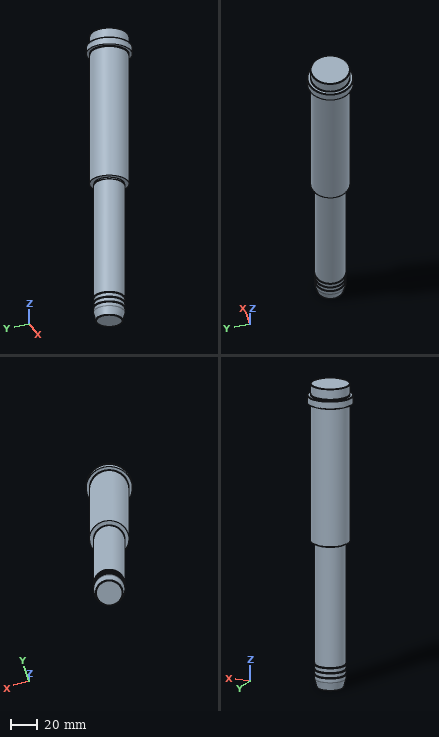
import cadquery as cq

TOTAL_LENGTH = 240.0
SLEEVE_LENGTH = 124.5

PIN_DIAMETER = 24.0
SLEEVE_DIAMETER = 30.0
COLLAR_DIAMETER = 35.0

SLEEVE_CHAMFER = 0.5
COLLAR_SETBACK = 9.0
COLLAR_THICKNESS = 6.0
COLLAR_CHAMFER = 0.5
RELIEF_WIDTH = 1.0
RELIEF_DEPTH = 0.5

NECK_LENGTH = 1.5
NECK_DEPTH = 0.5

GROOVE_COUNT = 3
GROOVE_PITCH = 4.0
GROOVE_WIDTH = 1.0
GROOVE_DEPTH = 0.5
LOWEST_GROOVE_BOTTOM = 10.0

NOSE_LENGTH = 7.0
NOSE_TIP_DIAMETER = 20.5
NOSE_EDGE_CHAMFER = 0.5

SLEEVE_BOTTOM = TOTAL_LENGTH - SLEEVE_LENGTH
COLLAR_TOP = TOTAL_LENGTH - COLLAR_SETBACK
COLLAR_BOTTOM = COLLAR_TOP - COLLAR_THICKNESS


def cylinder(diameter, bottom, height):
    return cq.Workplane("XY").workplane(offset=bottom).circle(diameter / 2).extrude(height)


def v_ring(diameter, depth, bottom, width):
    """Triangular ring that cuts a V groove into a shaft of the given diameter."""
    radius = diameter / 2
    profile = [(radius, bottom), (radius - depth, bottom + width / 2), (radius, bottom + width)]
    return cq.Workplane("XZ").polyline(profile).close().revolve(360, (0, 0), (0, 1))


def make_nose():
    """Tapered lead-in with a small chamfer around its tip."""
    nose = (
        cq.Workplane("XY")
        .circle(NOSE_TIP_DIAMETER / 2)
        .workplane(offset=NOSE_LENGTH)
        .circle(PIN_DIAMETER / 2)
        .loft(ruled=True)
    )
    return nose.faces("<Z").edges().chamfer(NOSE_EDGE_CHAMFER)


def make_pin():
    neck_bottom = SLEEVE_BOTTOM - NECK_LENGTH
    pin = cylinder(PIN_DIAMETER, NOSE_LENGTH, neck_bottom - NOSE_LENGTH)
    for index in range(GROOVE_COUNT):
        groove_bottom = LOWEST_GROOVE_BOTTOM + index * GROOVE_PITCH
        pin = pin.cut(v_ring(PIN_DIAMETER, GROOVE_DEPTH, groove_bottom, GROOVE_WIDTH))
    neck = cylinder(PIN_DIAMETER - 2 * NECK_DEPTH, neck_bottom, NECK_LENGTH)
    return pin.union(make_nose()).union(neck)


def make_sleeve():
    sleeve = cylinder(SLEEVE_DIAMETER, SLEEVE_BOTTOM, SLEEVE_LENGTH)
    sleeve = sleeve.faces(">Z").edges().chamfer(SLEEVE_CHAMFER)
    collar = cylinder(COLLAR_DIAMETER, COLLAR_BOTTOM, COLLAR_THICKNESS)
    collar = collar.faces(">Z").edges().chamfer(COLLAR_CHAMFER)
    sleeve = sleeve.union(collar)
    for relief_bottom in (COLLAR_TOP, COLLAR_BOTTOM - RELIEF_WIDTH):
        sleeve = sleeve.cut(v_ring(SLEEVE_DIAMETER, RELIEF_DEPTH, relief_bottom, RELIEF_WIDTH))
    return sleeve


result = make_sleeve().union(make_pin())